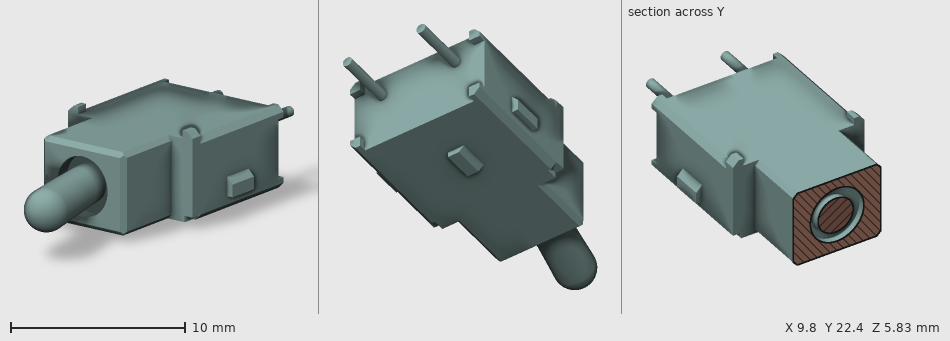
import cadquery as cq
import math

case_width = 8.99
case_height = 5.0
case_depth = 8.1
edge_chamfer = 0.38
corner_width = 0.72
foot_length = 0.5
ear_top = 2.97
ear_depth = 0.75
notch_width = 0.55

tab_front = 3.26
tab_length = 2.01
side_tab_reach = 4.9
side_tab_top = -0.47
side_tab_bottom = -1.63
bottom_tab_left = -1.16
bottom_tab_right = -0.05
bottom_tab_low = -2.86

bushing_width = 6.0
bushing_length = 4.5
bushing_chamfer = 0.3
mouth_radius = 1.8
mouth_depth = 0.9
mark_length = 0.54
mark_height = 0.47
mark_depth = 0.2

lever_tilt = 12.8
lever_tip_y = -10.65
dome_radius = 1.3
lever_taper = 1.15

pin_radius = 0.31
pin_spacing = 5.1
pin_height = 1.03
pin_end_y = 11.72

half_width = case_width / 2
half_height = case_height / 2
bushing_front = -bushing_length
mouth_floor = bushing_front + mouth_depth


def box(x_range, y_range, z_range):
    """Box between pairs of limits along X, Y and Z."""
    size = [high - low for low, high in (x_range, y_range, z_range)]
    return cq.Workplane("XY").box(*size, centered=False).translate((x_range[0], y_range[0], z_range[0]))


def extrude_along_y(points, start, length):
    """Extrude an XZ outline toward +Y from the given start."""
    return cq.Workplane("XZ", origin=(0, start, 0)).polyline(points).close().extrude(-length)


def mirrored_pair(shape):
    """The shape together with its mirror image across the middle plane."""
    return shape.union(shape.mirror("YZ"))


def make_case_block():
    """Chamfered block whose rear face is recessed between four corner feet."""
    block = box(
        (-half_width, half_width), (0, case_depth + foot_length), (-half_height, half_height)
    ).edges("|Y").chamfer(edge_chamfer)
    rear = (case_depth, case_depth + foot_length)
    foot_x = half_width - corner_width
    foot_z = half_height - corner_width
    between_sides = box((-foot_x, foot_x), rear, (-half_height, half_height))
    between_ends = box((-half_width, half_width), rear, (-foot_z, foot_z))
    return block.cut(between_sides).cut(between_ends)


def make_ears():
    """Upright ears at the front upper corners."""
    inner = half_width - corner_width
    outline = [
        (inner, half_height - edge_chamfer),
        (half_width, half_height - edge_chamfer),
        (half_width, ear_top - edge_chamfer),
        (half_width - edge_chamfer, ear_top),
        (inner, ear_top),
    ]
    return mirrored_pair(extrude_along_y(outline, 0, ear_depth))


def make_notches():
    """Cutters for the square notches at the front lower corners."""
    return mirrored_pair(box(
        (half_width - notch_width, half_width),
        (0, ear_depth),
        (-half_height, -half_height + edge_chamfer),
    ))


def make_side_tabs():
    """Snap tabs on both sides, sloped at 45 degrees on top."""
    outline = [
        (half_width, side_tab_top),
        (side_tab_reach, side_tab_top - (side_tab_reach - half_width)),
        (side_tab_reach, side_tab_bottom),
        (half_width, side_tab_bottom),
    ]
    return mirrored_pair(extrude_along_y(outline, tab_front, tab_length))


def make_bottom_tab():
    """Locating tab under the case with one side sloped at 45 degrees."""
    outline = [
        (bottom_tab_left, -half_height),
        (bottom_tab_left - half_height - bottom_tab_low, bottom_tab_low),
        (bottom_tab_right, bottom_tab_low),
        (bottom_tab_right, -half_height),
    ]
    return extrude_along_y(outline, tab_front, tab_length)


def make_pins():
    """Two round terminals standing out of the rear face."""
    centers = [(side * pin_spacing / 2, pin_height) for side in (-1, 1)]
    rear_face = cq.Workplane("XZ", origin=(0, case_depth, 0))
    return rear_face.pushPoints(centers).circle(pin_radius).extrude(case_depth - pin_end_y)


def make_case():
    """Case with its ears, tabs and fixed terminals."""
    case = make_case_block().union(make_ears()).cut(make_notches())
    return case.union(make_side_tabs()).union(make_bottom_tab()).union(make_pins())


def make_bushing():
    """Square bushing with a round blind mouth and a position mark."""
    half_bushing = bushing_width / 2
    block = box((-half_bushing, half_bushing), (bushing_front, 0), (-half_height, half_height))
    long_edges_cut = block.edges("|Y").chamfer(bushing_chamfer)
    front_edges_cut = block.faces("<Y").edges().chamfer(bushing_chamfer)
    block = long_edges_cut.intersect(front_edges_cut)
    mouth = cq.Workplane("XZ", origin=(0, bushing_front, 0)).circle(mouth_radius).extrude(-mouth_depth)
    mark = box(
        (-half_bushing, -half_bushing + mark_length),
        (bushing_front, bushing_front + mark_depth),
        (-mark_height / 2, mark_height / 2),
    )
    return block.cut(mouth).cut(mark)


def make_lever():
    """Domed lever standing on the floor of the mouth."""
    tilt = math.radians(lever_tilt)
    dome_y = lever_tip_y + dome_radius
    dome_x = (bushing_front - dome_y) * math.tan(tilt)
    axis_length = (mouth_floor - dome_y) / math.cos(tilt) + dome_radius
    root_radius = dome_radius - axis_length * math.tan(math.radians(lever_taper))
    diagonal = dome_radius / math.sqrt(2)
    profile = (
        cq.Workplane("XY")
        .moveTo(0, -dome_radius)
        .threePointArc((diagonal, -diagonal), (dome_radius, 0))
        .lineTo(root_radius, axis_length)
        .lineTo(0, axis_length)
        .close()
    )
    lever = profile.revolve(360, (0, 0, 0), (0, 1, 0))
    lever = lever.rotate((0, 0, 0), (0, 0, 1), lever_tilt).translate((dome_x, dome_y, 0))
    behind_floor = box((-half_width, half_width), (mouth_floor, 0), (-half_height, half_height))
    return lever.cut(behind_floor)


case = make_case()
bushing = make_bushing()
lever = make_lever()

result = cq.Compound.makeCompound([case.val(), bushing.val(), lever.val()])